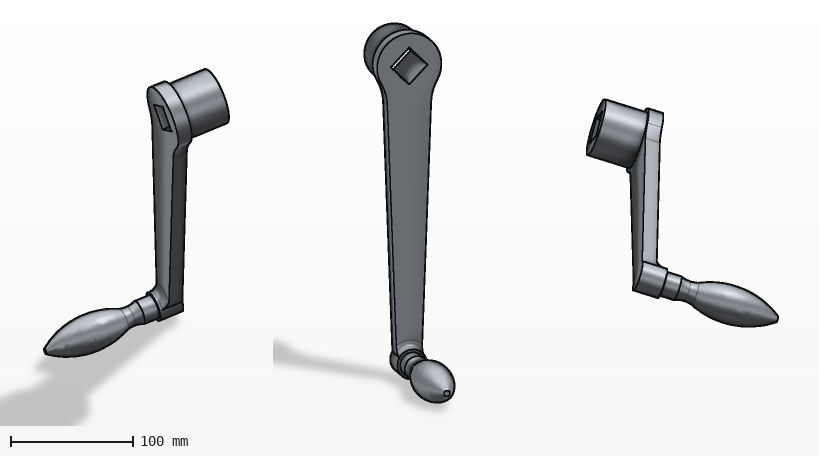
import cadquery as cq
import math

hub_flange_diameter = 55.0
hub_flange_radius = hub_flange_diameter / 2
hub_sleeve_radius = 24.0
hub_sleeve_length = 36.0
square_hole_side = 22.0
arm_thickness = 12.5
arm_half_width_at_hub = 20.0
arm_half_width_at_grip = 10.5
flank_blend_radius = 40.0

boss_radius = 12.5
boss_length = 21.0
boss_fillet_radius = 6.0

collar_radius = 10.3
collar_end = 34.3
neck_radius = 8.5
neck_middle = 42.5
neck_end = 49.3
grip_diameter = 32.0
grip_radius = grip_diameter / 2
grip_widest = 79.2
tip_radius = 2.5
tip_end = 121.0

overall_height = 293.5
axis_spacing = overall_height - hub_flange_radius - grip_radius


def cylinder(radius, y_start, y_end, z):
    """Solid cylinder parallel to Y, between two Y stations."""
    sketch = cq.Workplane("XZ", origin=(0, y_start, z)).circle(radius)
    return sketch.extrude(y_start - y_end)


def flank_blend_points():
    """Right-hand (x, z) points where the flank meets its blend and the hub."""
    flank_angle = math.atan2(arm_half_width_at_hub - arm_half_width_at_grip, axis_spacing)
    flank_distance = arm_half_width_at_hub * math.cos(flank_angle)
    centre_distance = hub_flange_radius + flank_blend_radius
    outward_angle = -flank_angle
    offset_angle = math.acos((flank_distance + flank_blend_radius) / centre_distance)
    centre_angle = outward_angle - offset_angle
    centre_x = centre_distance * math.cos(centre_angle)
    centre_z = centre_distance * math.sin(centre_angle)

    def blend_point(direction):
        return (
            centre_x - flank_blend_radius * math.cos(direction),
            centre_z - flank_blend_radius * math.sin(direction),
        )

    flank_point = blend_point(outward_angle)
    middle_point = blend_point((outward_angle + centre_angle) / 2)
    hub_point = blend_point(centre_angle)
    return flank_point, middle_point, hub_point


def mirrored(point):
    return (-point[0], point[1])


def make_arm(depth):
    """Tapered arm with round head, extruded forward from y = 0."""
    flank, middle, hub = flank_blend_points()
    foot = (arm_half_width_at_grip, -axis_spacing)
    return (
        cq.Workplane("XZ")
        .moveTo(*foot)
        .lineTo(*flank)
        .threePointArc(middle, hub)
        .threePointArc((0, hub_flange_radius), mirrored(hub))
        .threePointArc(mirrored(middle), mirrored(flank))
        .lineTo(*mirrored(foot))
        .close()
        .extrude(depth)
    )


def make_boss_fillet():
    """Concave flare from the boss to the arm's front face, trimmed to the arm's width."""
    flare_start = arm_thickness + boss_fillet_radius
    flare_radius = boss_radius + boss_fillet_radius
    sag = boss_fillet_radius * (1 - math.sqrt(0.5))
    flare = (
        cq.Workplane("XY", origin=(0, 0, -axis_spacing))
        .moveTo(0, -arm_thickness)
        .lineTo(flare_radius, -arm_thickness)
        .threePointArc((boss_radius + sag, -arm_thickness - sag), (boss_radius, -flare_start))
        .lineTo(0, -flare_start)
        .close()
        .revolve(360, (0, 0), (0, 1))
    )
    return flare.intersect(make_arm(flare_start))


def make_grip():
    """Revolved collar, waisted neck and barrel-shaped handle."""
    tip_run = tip_end - grip_widest
    tip_drop = grip_radius - tip_radius
    barrel_arc_radius = (tip_run**2 + tip_drop**2) / (2 * tip_drop)
    neck_run = grip_widest - neck_end
    neck_drop = barrel_arc_radius - math.sqrt(barrel_arc_radius**2 - neck_run**2)
    neck_end_radius = grip_radius - neck_drop

    def neck_arc_middle(end_station, end_radius):
        """Halfway point of a concave arc that is parallel to the axis at the neck's middle."""
        run = end_station - neck_middle
        rise = end_radius - neck_radius
        arc_radius = (run**2 + rise**2) / (2 * rise)
        half_angle = math.asin(run / arc_radius) / 2
        station = neck_middle + arc_radius * math.sin(half_angle)
        radius = neck_radius + arc_radius * (1 - math.cos(half_angle))
        return (radius, -station)

    return (
        cq.Workplane("XY", origin=(0, 0, -axis_spacing))
        .moveTo(0, -boss_length)
        .lineTo(collar_radius, -boss_length)
        .lineTo(collar_radius, -collar_end)
        .threePointArc(neck_arc_middle(collar_end, collar_radius), (neck_radius, -neck_middle))
        .threePointArc(neck_arc_middle(neck_end, neck_end_radius), (neck_end_radius, -neck_end))
        .threePointArc((grip_radius, -grip_widest), (tip_radius, -tip_end))
        .lineTo(0, -tip_end)
        .close()
        .revolve(360, (0, 0), (0, 1))
    )


def make_square_hole():
    """Square drive hole standing on its corner, through sleeve and arm."""
    through_length = hub_sleeve_length + arm_thickness
    return (
        cq.Workplane("XZ", origin=(0, hub_sleeve_length, 0))
        .transformed(rotate=(0, 0, 45))
        .rect(square_hole_side, square_hole_side)
        .extrude(through_length)
    )


sleeve = cylinder(hub_sleeve_radius, hub_sleeve_length, 0, 0)
boss = cylinder(boss_radius, 0, -boss_length, -axis_spacing)

result = (
    make_arm(arm_thickness)
    .union(sleeve)
    .union(boss)
    .union(make_boss_fillet())
    .union(make_grip())
    .cut(make_square_hole())
)